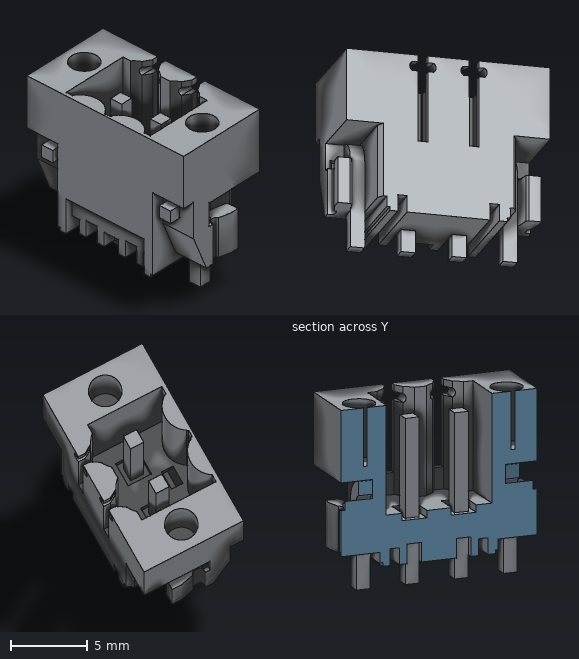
import cadquery as cq
import math


width = 13.95
depth = 7.45
height = 11.02
core_half_width = 4.23
foot_step_width = 0.21
foot_step_height = 0.25

pitch = 3.5
pin_size = 0.99
pin_y = 3.5
pin_tip_z = -1.53
contact_top_z = 9.85
contact_xs = [-pitch / 2, pitch / 2]
anchor_x = 5.23
anchor_front_y = 0.1
bend_inner_radius = 0.5
arm_top_z = 6.03

pin_front_y = pin_y - pin_size / 2
pin_back_y = pin_y + pin_size / 2
arm_bottom_z = arm_top_z - pin_size
bend_outer_radius = bend_inner_radius + pin_size
bend_y = pin_front_y - bend_inner_radius
bend_z = arm_bottom_z - bend_inner_radius

cavity_half_width = 3.74
cavity_front_y = 0.3
cavity_back_y = 5.86
cavity_depth = 7.5
cavity_floor_z = height - cavity_depth
bump_radius = 1.67
bump_reach_y = 1.13
bump_valley_half_width = 0.24
bump_valley_y = 0.2
bay_radius = 1.75
bay_y = 4.73
bay_throat_y = 6.32
slot_width = 0.67
slot_front_y = 6.95
slot_depth = 6.0

window_width = 1.42
window_end_bow = 0.18
window_top_z = height - 0.49
window_height = 0.61
window_front_y = 6.07

pit_depth = 0.5
pin_pit_size = 1.75
key_pit_width = 1.35
key_pit_front_y = 1.13
key_pit_bend_y = 1.55
key_pit_back_y = 1.98

screw_x = 5.25
screw_y = depth / 2
screw_diameter = 2.19
screw_depth = 4.0

pocket_half_width = 3.47
pocket_depth = 0.6
pocket_top_z = 2.8
underside_z = 1.15
rib_half_span = 2.83
middle_gap_width = 1.25
middle_gap_back_y = 1.62
leg_slot_top_z = 1.34

ear_bottom_z = 0.98
ear_front_y = 0.99
ear_step_z = 6.85
ear_slope_z = 3.93
ear_slope_y = 2.23
ear_back_y = bend_y
side_plate_x = anchor_x - pin_size / 2
side_plate_end_y = 6.96
side_plate_tip_x = 4.46
clip_top_z = 4.16
clip_back_y = 5.34
support_y = 2.92
support_front_z = 4.87
support_inset = 0.28

clip_notch_front_y = 2.87
clip_notch_back_y = 3.65
clip_notch_depth = 0.45
clip_notch_radius = 0.21
clip_flat_y = 4.63
clip_tip_width = 1.02
clip_corner = 0.17


def box(x0, x1, y0, y1, z0, z1):
    """Box between two opposite corners."""
    return cq.Workplane("XY").box(x1 - x0, y1 - y0, z1 - z0, centered=False).translate((x0, y0, z0))


def mirrored(shape):
    """The shape together with its mirror image across x = 0."""
    return shape.union(shape.mirror("YZ"))


def contact_pin(x):
    """Straight square contact."""
    half = pin_size / 2
    return box(x - half, x + half, pin_front_y, pin_back_y, pin_tip_z, contact_top_z)


def anchor_pin(x):
    """Square mounting pin bent forward through a right angle."""
    diagonal = math.sqrt(0.5)
    outline = (
        cq.Workplane("YZ", origin=(x - pin_size / 2, 0, 0))
        .moveTo(pin_front_y, pin_tip_z)
        .lineTo(pin_back_y, pin_tip_z)
        .lineTo(pin_back_y, bend_z)
        .threePointArc(
            (bend_y + bend_outer_radius * diagonal, bend_z + bend_outer_radius * diagonal),
            (bend_y, arm_top_z),
        )
        .lineTo(anchor_front_y, arm_top_z)
        .lineTo(anchor_front_y, arm_bottom_z)
        .lineTo(bend_y, arm_bottom_z)
        .threePointArc(
            (bend_y + bend_inner_radius * diagonal, bend_z + bend_inner_radius * diagonal),
            (pin_front_y, bend_z),
        )
        .close()
    )
    return outline.extrude(pin_size)


def core():
    """Full-width upper block on the narrower body, with rebated bottom side edges."""
    upper = box(-width / 2, width / 2, 0, depth, ear_step_z, height)
    body = box(-core_half_width, core_half_width, 0, depth, 0, height)
    step_x = core_half_width - foot_step_width
    rebate = box(step_x, core_half_width, 0, depth, 0, foot_step_height)
    return upper.union(body).cut(mirrored(rebate))


def clip():
    """Snap clip behind the right-hand ear, notched on its outer side."""
    outer_x = width / 2
    notch_x = outer_x - clip_notch_depth
    lip_x = notch_x + clip_notch_radius
    pin_x = anchor_x + pin_size / 2
    corner_curve = clip_notch_radius * (1 - math.sqrt(0.5))
    return (
        cq.Workplane("XY", origin=(0, 0, ear_bottom_z))
        .moveTo(side_plate_x, ear_back_y)
        .lineTo(outer_x, ear_back_y)
        .lineTo(outer_x, clip_notch_front_y)
        .lineTo(lip_x, clip_notch_front_y)
        .threePointArc(
            (notch_x + corner_curve, clip_notch_front_y + corner_curve),
            (notch_x, clip_notch_front_y + clip_notch_radius),
        )
        .lineTo(notch_x, clip_notch_back_y - clip_notch_radius)
        .threePointArc(
            (notch_x + corner_curve, clip_notch_back_y - corner_curve),
            (lip_x, clip_notch_back_y),
        )
        .lineTo(outer_x, clip_flat_y)
        .lineTo(outer_x, clip_back_y)
        .lineTo(outer_x - clip_tip_width + clip_corner, clip_back_y)
        .lineTo(outer_x - clip_tip_width, clip_back_y - clip_corner)
        .lineTo(pin_x, pin_back_y)
        .lineTo(side_plate_x, pin_back_y)
        .close()
        .extrude(clip_top_z - ear_bottom_z)
    )


def ear():
    """Right-hand ear: plate with a sloped front, side plate, clip and pin support."""
    plate = (
        cq.Workplane("YZ", origin=(core_half_width, 0, 0))
        .polyline([
            (ear_front_y, ear_step_z),
            (ear_front_y, ear_slope_z),
            (ear_slope_y, ear_bottom_z),
            (ear_back_y, ear_bottom_z),
            (ear_back_y, arm_top_z),
            (depth, arm_top_z),
            (depth, ear_step_z),
        ])
        .close()
        .extrude(width / 2 - core_half_width)
    )
    side_plate = (
        cq.Workplane("XY", origin=(0, 0, ear_bottom_z))
        .polyline([
            (core_half_width, ear_back_y),
            (side_plate_x, ear_back_y),
            (side_plate_x, side_plate_end_y),
            (side_plate_tip_x, depth),
            (core_half_width, depth),
        ])
        .close()
        .extrude(arm_top_z - ear_bottom_z)
    )
    support = (
        cq.Workplane("YZ", origin=(side_plate_x, 0, 0))
        .polyline([
            (ear_back_y, clip_top_z),
            (support_y, clip_top_z),
            (support_y, bend_z),
            (ear_back_y, support_front_z),
        ])
        .close()
        .extrude(width / 2 - support_inset - side_plate_x)
    )
    return plate.union(side_plate).union(clip()).union(support)


def cavity():
    """Plug cavity: a rectangular well with lobed front wall and bayed back wall."""
    well = box(
        -cavity_half_width, cavity_half_width, cavity_front_y, cavity_back_y, cavity_floor_z, height
    )
    valley = box(
        -bump_valley_half_width, bump_valley_half_width,
        bump_valley_y, cavity_front_y, cavity_floor_z, height,
    )
    well = well.union(valley)
    floor = cq.Workplane("XY", origin=(0, 0, cavity_floor_z))
    bump_y = bump_reach_y - bump_radius
    throat_half_width = math.sqrt(bay_radius**2 - (bay_throat_y - bay_y) ** 2)
    for x in contact_xs:
        well = well.cut(floor.center(x, bump_y).circle(bump_radius).extrude(cavity_depth))
    for x in contact_xs:
        bay = floor.center(x, bay_y).circle(bay_radius).extrude(cavity_depth)
        bay = bay.intersect(
            box(x - bay_radius, x + bay_radius, bay_y, bay_throat_y, cavity_floor_z, height)
        )
        mouth = (
            floor.polyline([
                (x - throat_half_width, bay_throat_y),
                (x + throat_half_width, bay_throat_y),
                (x + slot_width / 2, slot_front_y),
                (x - slot_width / 2, slot_front_y),
            ])
            .close()
            .extrude(cavity_depth)
        )
        slot = box(x - slot_width / 2, x + slot_width / 2, slot_front_y, depth, height - slot_depth, height)
        well = well.union(bay).union(mouth).union(slot)
    return well


def latch_window(x):
    """Window with bowed ends through the upper back wall behind a contact."""
    bottom_z = window_top_z - window_height
    middle_z = window_top_z - window_height / 2
    half = window_width / 2
    return (
        cq.Workplane("XZ", origin=(x, depth, 0))
        .moveTo(-half, bottom_z)
        .lineTo(half, bottom_z)
        .threePointArc((half + window_end_bow, middle_z), (half, window_top_z))
        .lineTo(-half, window_top_z)
        .threePointArc((-half - window_end_bow, middle_z), (-half, bottom_z))
        .close()
        .extrude(depth - window_front_y)
    )


def pin_pit(x):
    """Square recess in the cavity floor around a contact."""
    half = pin_pit_size / 2
    return box(x - half, x + half, pin_y - half, pin_y + half, cavity_floor_z - pit_depth, cavity_floor_z)


def key_pit():
    """Recess in the cavity floor whose front half is a ramp."""
    return (
        cq.Workplane("YZ", origin=(-key_pit_width / 2, 0, 0))
        .polyline([
            (key_pit_front_y, cavity_floor_z),
            (key_pit_bend_y, cavity_floor_z - pit_depth),
            (key_pit_back_y, cavity_floor_z - pit_depth),
            (key_pit_back_y, cavity_floor_z),
        ])
        .close()
        .extrude(key_pit_width)
    )


def screw_hole(x):
    """Blind round hole in the top face."""
    hole = cq.Workplane("XY", origin=(x, screw_y, height - screw_depth))
    return hole.circle(screw_diameter / 2).extrude(screw_depth)


def underside_cuts():
    """Front pocket, side channels, middle gap and leg slots that leave four ribs."""
    pocket = box(-pocket_half_width, pocket_half_width, 0, pocket_depth, 0, pocket_top_z)
    channel = box(rib_half_span, pocket_half_width, 0, depth, 0, underside_z)
    gap_half = middle_gap_width / 2
    gap = box(-gap_half, gap_half, 0, middle_gap_back_y, 0, underside_z)
    cuts = pocket.union(mirrored(channel)).union(gap)
    for x in contact_xs:
        half = pin_size / 2
        cuts = cuts.union(box(x - half, x + half, 0, pin_back_y, 0, leg_slot_top_z))
    return cuts


def make_housing(pins):
    """Housing with a matching hole for every pin."""
    body = core().union(mirrored(ear())).cut(cavity()).cut(key_pit()).cut(underside_cuts())
    for x in contact_xs:
        body = body.cut(latch_window(x)).cut(pin_pit(x))
    for x in (-screw_x, screw_x):
        body = body.cut(screw_hole(x))
    for pin in pins:
        body = body.cut(pin)
    return body.solids()


contacts = [contact_pin(x) for x in contact_xs]
anchors = [anchor_pin(x) for x in (-anchor_x, anchor_x)]
pins = contacts + anchors
housing = make_housing(pins)

result = cq.Compound.makeCompound([housing.val(), *[pin.val() for pin in pins]])